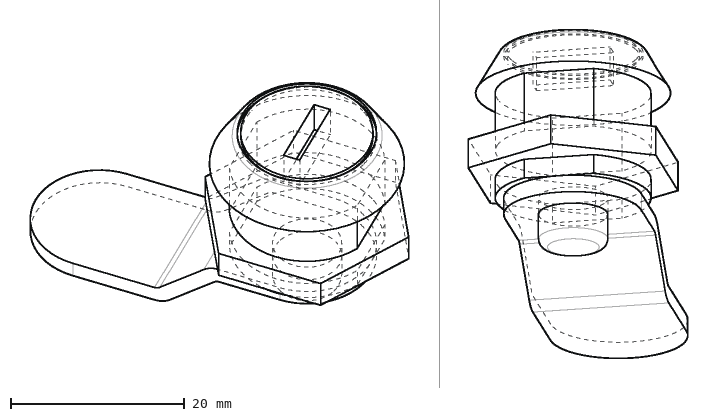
import cadquery as cq
import math


total_height = 25.8
head_height = 5.0
nut_bottom = 10.27
nut_height = 3.5
barrel_bottom = 8.0
shaft_bottom = 2.0

head_diameter = 22.5
head_slope = 30.0
head_fillet = 1.0
ring_outer_diameter = 16.05
ring_inner_diameter = 15.25
ring_depth = 0.5
key_width = 2.0
key_length = 9.05
key_depth = 4.0

barrel_diameter = 18.0
barrel_flats = 16.0
nut_corner_diameter = 25.5
shaft_diameter = 8.0
shaft_fillet = (shaft_diameter - 6.0) / 2

overall_length = 46.7
cam_width = barrel_flats
cam_thickness = 2.0
bend_angle = math.radians(42)
bend_inner_radius = 1.0
upper_bend_start = -7.55

head_bottom = total_height - head_height
head_top_diameter = head_diameter - 2 * head_height * math.tan(math.radians(head_slope))
cam_tip = nut_corner_diameter / 2 - overall_length
cam_heel = cam_width / 2
bend_outer_radius = bend_inner_radius + cam_thickness


def cylinder(diameter, bottom, top):
    return cq.Workplane("XY").workplane(offset=bottom).circle(diameter / 2).extrude(top - bottom)


def make_head():
    head = (
        cq.Workplane("XY", origin=(0, 0, head_bottom))
        .circle(head_diameter / 2)
        .workplane(offset=head_height)
        .circle(head_top_diameter / 2)
        .loft(ruled=True)
        .faces(">Z").edges().fillet(head_fillet)
    )
    ring = (
        cq.Workplane("XY", origin=(0, 0, total_height))
        .circle(ring_outer_diameter / 2)
        .circle(ring_inner_diameter / 2)
        .extrude(-ring_depth)
    )
    key_slot = (
        cq.Workplane("XY", origin=(0, 0, total_height))
        .rect(key_width, key_length)
        .extrude(-key_depth)
    )
    return head.cut(ring).cut(key_slot)


def make_barrel():
    barrel = cylinder(barrel_diameter, barrel_bottom, head_bottom)
    flats = (
        cq.Workplane("XY", origin=(0, 0, barrel_bottom))
        .rect(barrel_flats, barrel_diameter)
        .extrude(head_bottom - barrel_bottom)
    )
    return barrel.intersect(flats)


def make_nut():
    return (
        cq.Workplane("XY", origin=(0, 0, nut_bottom))
        .polygon(6, nut_corner_diameter)
        .extrude(nut_height)
    )


def make_shaft():
    shaft = cylinder(shaft_diameter, shaft_bottom, barrel_bottom)
    return shaft.faces("<Z").edges().fillet(shaft_fillet)


def make_lock():
    return make_head().union(make_barrel()).union(make_nut()).union(make_shaft())


def make_cam():
    half_tangent = math.tan(bend_angle / 2)
    drop = barrel_bottom - cam_thickness
    run = drop / math.tan(bend_angle)
    upper_top = upper_bend_start - bend_outer_radius * half_tangent
    upper_bottom = upper_bend_start - bend_inner_radius * half_tangent
    lower_top = upper_top - run
    lower_bottom = upper_bottom - run
    strip = (
        cq.Workplane("XZ")
        .polyline([
            (cam_tip, 0),
            (lower_bottom, 0),
            (upper_bottom, drop),
            (cam_heel, drop),
            (cam_heel, barrel_bottom),
            (upper_top, barrel_bottom),
            (lower_top, cam_thickness),
            (cam_tip, cam_thickness),
        ])
        .close()
        .extrude(cam_width / 2, both=True)
    )

    def round_bend(body, x, z, radius):
        return body.edges(cq.NearestToPointSelector((x, 0, z))).fillet(radius)

    strip = round_bend(strip, lower_bottom, 0, bend_outer_radius)
    strip = round_bend(strip, upper_bottom, drop, bend_inner_radius)
    strip = round_bend(strip, upper_top, barrel_bottom, bend_outer_radius)
    strip = round_bend(strip, lower_top, cam_thickness, bend_inner_radius)

    outline = (
        cq.Workplane("XY", origin=((cam_tip + cam_heel) / 2, 0, 0))
        .slot2D(cam_heel - cam_tip, cam_width)
        .extrude(barrel_bottom)
    )
    shaft_hole = cylinder(shaft_diameter, 0, barrel_bottom)
    return strip.intersect(outline).cut(shaft_hole)


lock = make_lock()
cam = make_cam()

result = cq.Compound.makeCompound([*lock.vals(), *cam.vals()])